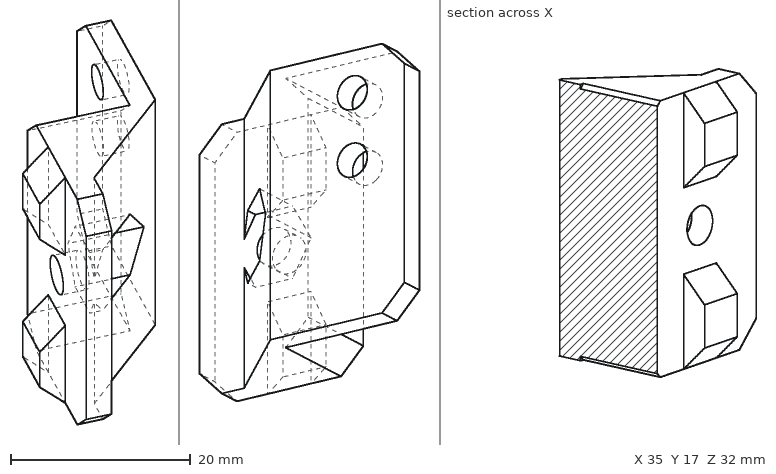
import cadquery as cq
import math

length = 35.0
height = 32.0
plate_thickness = 3.0
corner_chamfer = 3.0

block_left = 15.0
slope_start = 18.0
mount_face_depth = 14.0
slope_run = mount_face_depth - plate_thickness
slope_end = slope_start + slope_run

mount_center_x = 25.0
key_width = 5.8
key_length = 11.0
key_height = 3.0

mount_hole_diameter = 4.5
plate_hole_diameter = 4.0
plate_hole_count = 2
plate_hole_x = 7.0
plate_hole_top_offset = 5.0
plate_hole_spacing = 8.0

pocket_across_flats = 8.6
pocket_across_corners = pocket_across_flats / math.cos(math.pi / 6)
pocket_floor_thickness = 3.0


def extrude_plan(points):
    """Extrude an XY outline over the full height."""
    return cq.Workplane("XY").polyline(points).close().extrude(height)


def back_plate():
    """Flat plate with its two left corners chamfered."""
    plan = [(0, 0), (slope_start, 0), (slope_start, -plate_thickness), (0, -plate_thickness)]
    return extrude_plan(plan).faces("<X").edges("|Y").chamfer(corner_chamfer)


def mounting_block():
    """Sloped-back block and front flange with chamfered end corners."""
    plan = [
        (block_left, -plate_thickness),
        (slope_start, -plate_thickness),
        (slope_start, 0),
        (slope_end, -slope_run),
        (length, -slope_run),
        (length, -mount_face_depth),
        (block_left, -mount_face_depth),
    ]
    block = extrude_plan(plan)
    block = block.faces("<X").edges("|Y").chamfer(corner_chamfer)
    return block.faces(">X").edges("|Y").chamfer(corner_chamfer)


def locating_key(bottom):
    """Key with 45 degree ends that stands out from the mounting face."""
    tip_depth = mount_face_depth + key_height
    top = bottom + key_length
    profile = [
        (-slope_run, bottom),
        (-mount_face_depth, bottom),
        (-tip_depth, bottom + key_height),
        (-tip_depth, top - key_height),
        (-mount_face_depth, top),
        (-slope_run, top),
    ]
    key = cq.Workplane("YZ").polyline(profile).close().extrude(key_width)
    return key.translate((mount_center_x - key_width / 2, 0, 0))


def through_hole(x, z, diameter):
    """Cylinder along Y that passes through the whole part."""
    drill_length = mount_face_depth + key_height
    return cq.Workplane("XZ").center(x, z).circle(diameter / 2).extrude(drill_length)


def hex_pocket():
    """Hexagonal prism from the back plane down to the pocket floor, corners toward +X and -X."""
    pocket_depth = mount_face_depth - pocket_floor_thickness
    sketch = cq.Workplane("XZ").center(mount_center_x, height / 2)
    return sketch.polygon(6, pocket_across_corners).extrude(pocket_depth)


result = back_plate().union(mounting_block())

for key_bottom in (0, height - key_length):
    result = result.union(locating_key(key_bottom))

result = result.cut(through_hole(mount_center_x, height / 2, mount_hole_diameter))
result = result.cut(hex_pocket())

for index in range(plate_hole_count):
    hole_z = height - plate_hole_top_offset - index * plate_hole_spacing
    result = result.cut(through_hole(plate_hole_x, hole_z, plate_hole_diameter))